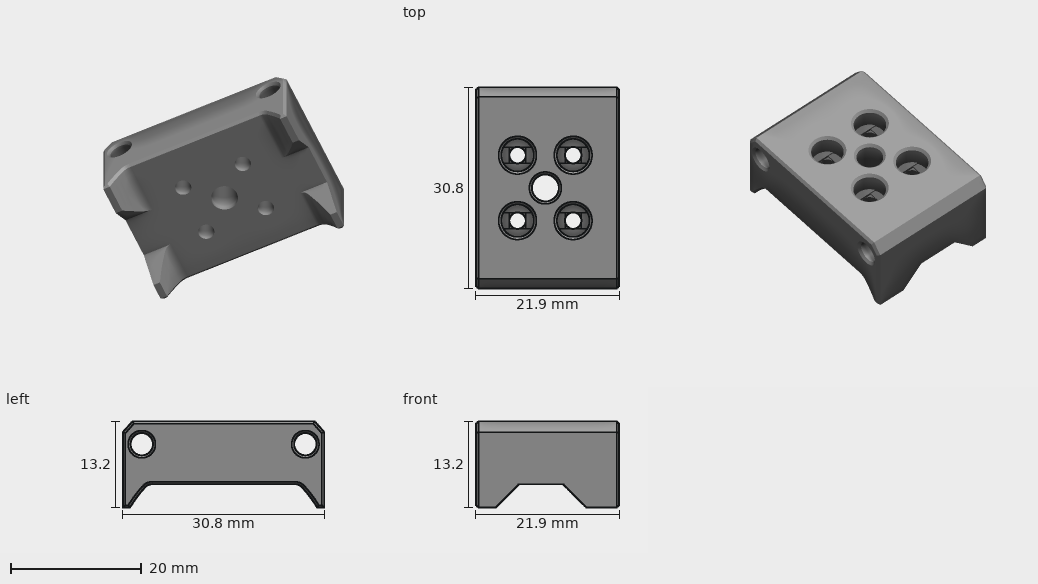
import cadquery as cq

LENGTH_X = 21.9
LENGTH_Y = 30.8
HEIGHT = 13.2
EDGE_CHAMFER = 0.4
TOP_BEVEL_Y = 1.48
TOP_BEVEL_Z = 1.65

CHANNEL_HEIGHT = 3.57
FOOT_WIDTH = 1.08
FOOT_ROOT_WIDTH = 3.85
FOOT_FLANK_RADIUS = 18.48
ROOF_FILLET = 1.55

NOTCH_X = -1.0
NOTCH_ROOF_WIDTH = 6.7
NOTCH_HEIGHT = CHANNEL_HEIGHT

PATTERN_X = -0.35
SCREW_PITCH_X = 8.5
SCREW_PITCH_Y = 10.0
SCREW_DIAMETER = 2.5
HEAD_DIAMETER = 5.0
HEAD_DEPTH = 3.15
STEP_DEPTH = 0.22
CENTRE_DIAMETER = 4.1

CROSS_DIAMETER = 3.4
CROSS_FROM_END = 2.9
CROSS_FROM_TOP = 3.5

HALF_X = LENGTH_X / 2
HALF_Y = LENGTH_Y / 2


def make_body():
    """Bevelled block with the arched channel, chamfered round both X faces."""
    foot_edge = HALF_Y - FOOT_WIDTH
    roof_edge = HALF_Y - FOOT_ROOT_WIDTH
    bevel_edge = HALF_Y - TOP_BEVEL_Y
    bevel_base = HEIGHT - TOP_BEVEL_Z
    body = (
        cq.Workplane("YZ")
        .moveTo(-HALF_Y, 0)
        .lineTo(-foot_edge, 0)
        .radiusArc((-roof_edge, CHANNEL_HEIGHT), FOOT_FLANK_RADIUS)
        .lineTo(roof_edge, CHANNEL_HEIGHT)
        .radiusArc((foot_edge, 0), FOOT_FLANK_RADIUS)
        .lineTo(HALF_Y, 0)
        .lineTo(HALF_Y, bevel_base)
        .lineTo(bevel_edge, HEIGHT)
        .lineTo(-bevel_edge, HEIGHT)
        .lineTo(-HALF_Y, bevel_base)
        .close()
        .extrude(HALF_X, both=True)
    )
    roof_corners = cq.selectors.BoxSelector(
        (-HALF_X, -roof_edge - EDGE_CHAMFER, CHANNEL_HEIGHT - EDGE_CHAMFER),
        (HALF_X, roof_edge + EDGE_CHAMFER, CHANNEL_HEIGHT + EDGE_CHAMFER),
    )
    body = body.edges("|X").edges(roof_corners).fillet(ROOF_FILLET)
    return body.faces("<X or >X").chamfer(EDGE_CHAMFER)


def make_notch():
    """Trapezoidal prism removed from the feet."""
    roof_half = NOTCH_ROOF_WIDTH / 2
    floor_half = roof_half + NOTCH_HEIGHT
    return (
        cq.Workplane("XZ")
        .polyline([
            (NOTCH_X - floor_half, 0),
            (NOTCH_X - roof_half, NOTCH_HEIGHT),
            (NOTCH_X + roof_half, NOTCH_HEIGHT),
            (NOTCH_X + floor_half, 0),
        ])
        .close()
        .extrude(HALF_Y, both=True)
    )


def make_bore(diameter, depth):
    """Bore going down from z = 0 with a chamfered mouth."""
    bore = cq.Workplane("XY").circle(diameter / 2).extrude(-depth)
    mouth = cq.Workplane("XY").add(
        cq.Solid.makeCone(
            diameter / 2 + EDGE_CHAMFER,
            diameter / 2,
            EDGE_CHAMFER,
            dir=cq.Vector(0, 0, -1),
        )
    )
    return bore.union(mouth)


def make_screw_hole():
    """Head recess stepping down through a slot and a square to the round hole."""
    head = make_bore(HEAD_DIAMETER, HEAD_DEPTH)
    slot_floor = HEAD_DEPTH + STEP_DEPTH
    slot = (
        cq.Workplane("XY")
        .circle(HEAD_DIAMETER / 2)
        .extrude(-slot_floor)
        .intersect(cq.Workplane("XY").box(HEAD_DIAMETER, SCREW_DIAMETER, 2 * slot_floor))
    )
    square_floor = slot_floor + STEP_DEPTH
    square = cq.Workplane("XY").rect(SCREW_DIAMETER, SCREW_DIAMETER).extrude(-square_floor)
    shank = cq.Workplane("XY").circle(SCREW_DIAMETER / 2).extrude(-HEIGHT)
    return head.union(slot).union(square).union(shank)


def cut_vertical_holes(body):
    """Four screw holes around one plain centre hole."""
    screw_hole = make_screw_hole()
    for side_x in (-1, 1):
        for side_y in (-1, 1):
            place = (
                PATTERN_X + side_x * SCREW_PITCH_X / 2,
                side_y * SCREW_PITCH_Y / 2,
                HEIGHT,
            )
            body = body.cut(screw_hole.translate(place))
    return body.cut(make_bore(CENTRE_DIAMETER, HEIGHT).translate((PATTERN_X, 0, HEIGHT)))


def cut_cross_holes(body):
    """Through hole near each short end, chamfered at both mouths."""
    half_hole = make_bore(CROSS_DIAMETER, HALF_X)
    for turn in (-90, 90):
        from_face = half_hole.rotate((0, 0, 0), (0, 1, 0), turn)
        face_x = HALF_X if turn > 0 else -HALF_X
        for side_y in (-1, 1):
            place = (face_x, side_y * (HALF_Y - CROSS_FROM_END), HEIGHT - CROSS_FROM_TOP)
            body = body.cut(from_face.translate(place))
    return body


result = make_body().cut(make_notch())
result = cut_vertical_holes(result)
result = cut_cross_holes(result)